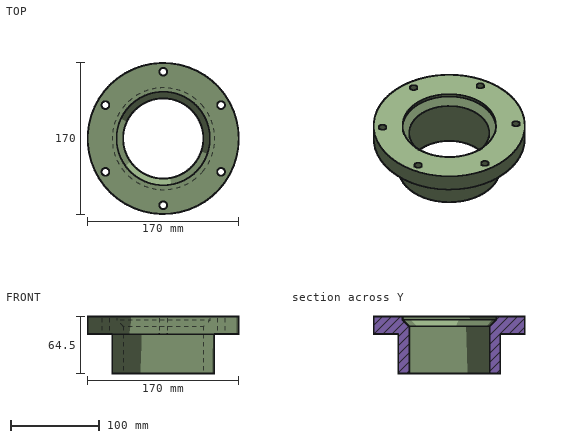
import cadquery as cq

flange_diameter = 170.0
flange_thickness = 20.0
total_height = 64.5
hub_diameter = 115.0

mouth_diameter = 105.0
mouth_depth = 3.7
bore_diameter = 90.0
cone_end_depth = 11.2

bolt_count = 6
bolt_circle_diameter = 150.0
bolt_hole_diameter = 8.5
first_bolt_angle = 90

flange_bottom = total_height - flange_thickness


def revolved_body():
    """Flange, hub and stepped bore as one half section turned about Z."""
    half_section = [
        (bore_diameter / 2, 0),
        (hub_diameter / 2, 0),
        (hub_diameter / 2, flange_bottom),
        (flange_diameter / 2, flange_bottom),
        (flange_diameter / 2, total_height),
        (mouth_diameter / 2, total_height),
        (mouth_diameter / 2, total_height - mouth_depth),
        (bore_diameter / 2, total_height - cone_end_depth),
    ]
    return cq.Workplane("XZ").polyline(half_section).close().revolve(360, (0, 0), (0, 1))


def bolt_holes():
    """Cylinders that cut the bolt holes through the flange."""
    return (
        cq.Workplane("XY", origin=(0, 0, flange_bottom))
        .polarArray(bolt_circle_diameter / 2, first_bolt_angle, 360, bolt_count)
        .circle(bolt_hole_diameter / 2)
        .extrude(flange_thickness)
    )


result = revolved_body().cut(bolt_holes())